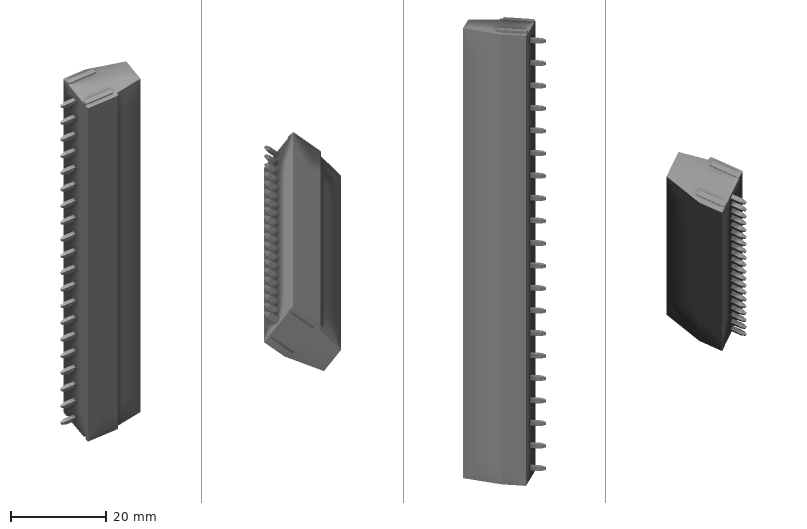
import cadquery as cq

total_height = 100.6
total_depth = 17.3
rail_height = 0.6

pole_count = 20
housing_height = total_height - rail_height
pole_pitch = housing_height / pole_count

housing_width = 10.2
housing_depth = 14.0
roof_left = 2.3
roof_right = 8.2
left_slope_start = 5.3
ledge_depth = 7.5
ledge_inner = 9.4
ledge_chamfer = 0.3

rail_left_edges = (1.2, 8.2)
rail_length = 6.6
rail_stem_width = 0.6
rail_head_width = 1.1
rail_head_thickness = 0.3

pin_x = 4.7
pin_size = 0.96
pin_length = total_depth - housing_depth
pin_tip_length = 0.9
pin_tip_size = 0.5


def make_housing():
    outline = [
        (0, 0),
        (housing_width, 0),
        (housing_width, ledge_depth - ledge_chamfer),
        (housing_width - ledge_chamfer, ledge_depth),
        (ledge_inner, ledge_depth),
        (roof_right, housing_depth),
        (roof_left, housing_depth),
        (0, left_slope_start),
    ]
    return cq.Workplane("XY").polyline(outline).close().extrude(housing_height)


def make_rail(center_x, base_z):
    """T-shaped bar running from the pin face, with its stem standing on base_z."""
    stem_edge = rail_stem_width / 2
    head_edge = rail_head_width / 2
    head_z = rail_height - rail_head_thickness
    section = [
        (-stem_edge, 0),
        (stem_edge, 0),
        (stem_edge, head_z),
        (head_edge, head_z),
        (head_edge, rail_height),
        (-head_edge, rail_height),
        (-head_edge, head_z),
        (-stem_edge, head_z),
    ]
    return (
        cq.Workplane("XZ", origin=(center_x, 0, base_z))
        .polyline(section)
        .close()
        .extrude(-rail_length)
    )


def make_pin(center_z):
    """Pin pointing towards -Y from the pin face."""
    shank_length = pin_length - pin_tip_length
    shank = cq.Workplane("XZ").center(pin_x, center_z).rect(pin_size, pin_size).extrude(shank_length)
    tip = (
        cq.Workplane("XZ", origin=(pin_x, -shank_length, center_z))
        .rect(pin_size, pin_size)
        .workplane(offset=pin_tip_length)
        .rect(pin_tip_size, pin_tip_size)
        .loft(ruled=True)
    )
    return shank.union(tip)


result = make_housing()

for left_edge in rail_left_edges:
    rail_x = left_edge + rail_head_width / 2
    result = result.union(make_rail(rail_x, housing_height))
    result = result.cut(make_rail(rail_x, 0))

for pole in range(pole_count):
    result = result.union(make_pin((pole + 0.5) * pole_pitch))